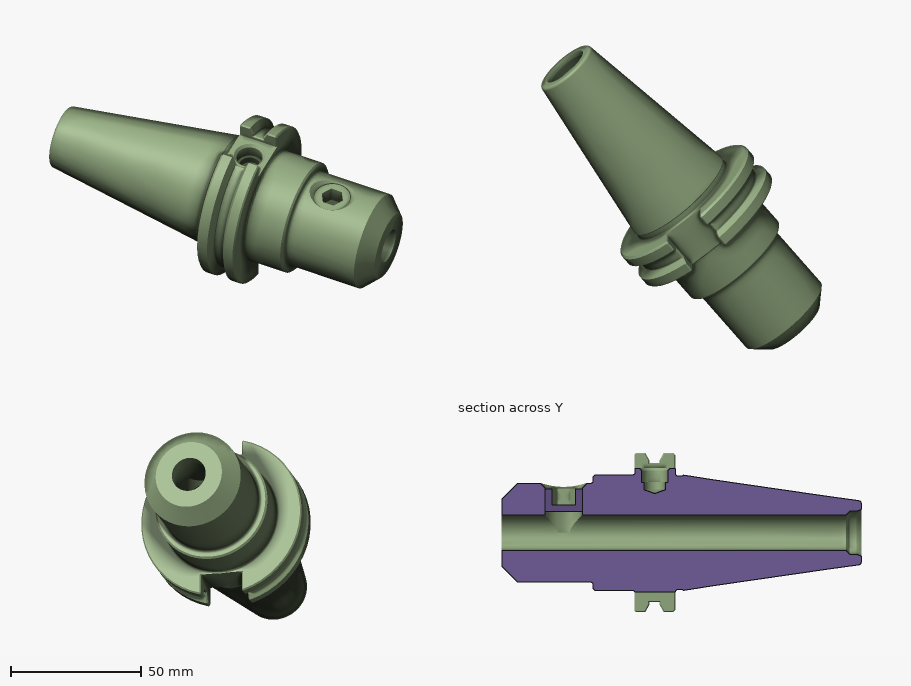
import cadquery as cq
import math

total_length = 138.1

gauge_diameter = 44.5
gauge_x = 68.4
taper_ratio = 7 / 24
small_end_fillet = 1.2

relief_diameter = 43.9
relief_step = 0.4
relief_fillet = 0.7

flange_diameter = 63.5
flange_x = 71.4
flange_width = 15.7
flange_front_chamfer = 0.8
flange_back_chamfer = 0.5
groove_center_x = 79.4
groove_bottom_width = 3.9
groove_mouth_width = 7.0
groove_depth = 3.7
groove_flank_angle = 60.0

collar_diameter = 44.5
collar_end_x = 103.2
collar_flange_fillet = 0.7
collar_chamfer = 0.7
nose_diameter = 38.1
nose_fillet = 1.0
nose_chamfer = 6.0

bore_diameter = 13.4
thread_bore_diameter = 16.5
thread_bore_length = 2.8
bore_mouth_diameter = 18.0
bore_mouth_depth = 1.8
bore_step_length = 1.4

slot_width = 16.2
top_slot_floor = 24.9
bottom_slot_floor = 22.8
slot_floor_fillet = 0.4
slot_edge_chamfer = 0.5

chip_hole_diameter = 10.1
chip_hole_depth = 5.5
chip_hole_mouth_diameter = 12.0
chip_hole_tip_diameter = 8.0
chip_hole_tip_length = 2.8
drill_point_angle = 140.0

screw_x = 114.3
screw_diameter = 14.2
screw_top_z = 17.0
screw_bottom_z = 8.0
screw_edge_chamfer = 0.3
screw_mouth_diameter = 18.0
hex_width = 7.7
hex_depth = 6.2

tiny = 0.01


def make_outer_body():
    """Revolve the outline of the taper, flange, collar and nose about X."""
    gauge_r = gauge_diameter / 2
    relief_r = relief_diameter / 2
    flange_r = flange_diameter / 2
    collar_r = collar_diameter / 2
    nose_r = nose_diameter / 2
    flange_end_x = flange_x + flange_width
    half_angle = math.atan(taper_ratio / 2)
    small_end_r = gauge_r - gauge_x * taper_ratio / 2

    fillet_reach = small_end_fillet * math.tan((math.pi / 2 - half_angle) / 2)
    fillet_end_x = fillet_reach * math.cos(half_angle)
    fillet_end_r = small_end_r + fillet_reach * math.sin(half_angle)

    flank_width = (groove_mouth_width - groove_bottom_width) / 2
    flank_end_r = flange_r - flank_width * math.tan(math.radians(groove_flank_angle))
    groove_r = flange_r - groove_depth
    mouth_half = groove_mouth_width / 2
    bottom_half = groove_bottom_width / 2

    return (
        cq.Workplane("XY")
        .moveTo(0, 0)
        .lineTo(0, small_end_r - fillet_reach)
        .radiusArc((fillet_end_x, fillet_end_r), small_end_fillet)
        .lineTo(gauge_x, gauge_r)
        .lineTo(gauge_x + relief_step, relief_r)
        .lineTo(flange_x - relief_fillet, relief_r)
        .radiusArc((flange_x, relief_r + relief_fillet), -relief_fillet)
        .lineTo(flange_x, flange_r - flange_front_chamfer)
        .lineTo(flange_x + flange_front_chamfer, flange_r)
        .lineTo(groove_center_x - mouth_half, flange_r)
        .lineTo(groove_center_x - bottom_half, flank_end_r)
        .lineTo(groove_center_x - bottom_half, groove_r)
        .lineTo(groove_center_x + bottom_half, groove_r)
        .lineTo(groove_center_x + bottom_half, flank_end_r)
        .lineTo(groove_center_x + mouth_half, flange_r)
        .lineTo(flange_end_x - flange_back_chamfer, flange_r)
        .lineTo(flange_end_x, flange_r - flange_back_chamfer)
        .lineTo(flange_end_x, collar_r + collar_flange_fillet)
        .radiusArc((flange_end_x + collar_flange_fillet, collar_r), -collar_flange_fillet)
        .lineTo(collar_end_x - collar_chamfer, collar_r)
        .lineTo(collar_end_x, collar_r - collar_chamfer)
        .lineTo(collar_end_x, nose_r + nose_fillet)
        .radiusArc((collar_end_x + nose_fillet, nose_r), -nose_fillet)
        .lineTo(total_length - nose_chamfer, nose_r)
        .lineTo(total_length, nose_r - nose_chamfer)
        .lineTo(total_length, 0)
        .close()
        .revolve(360, (0, 0, 0), (1, 0, 0))
    )


def make_bore():
    """Through bore that widens in steps towards the taper's small end."""
    bore_r = bore_diameter / 2
    thread_r = thread_bore_diameter / 2
    return (
        cq.Workplane("XY")
        .moveTo(0, 0)
        .lineTo(0, bore_mouth_diameter / 2)
        .lineTo(bore_mouth_depth, thread_r)
        .lineTo(bore_mouth_depth + thread_bore_length, thread_r)
        .lineTo(bore_mouth_depth + thread_bore_length + bore_step_length, bore_r)
        .lineTo(total_length, bore_r)
        .lineTo(total_length, 0)
        .close()
        .revolve(360, (0, 0, 0), (1, 0, 0))
    )


def make_drive_slot(floor_height):
    """Slot through the flange on the +Z side."""
    height = flange_diameter / 2 - floor_height + 1.4
    return (
        cq.Workplane("XY", origin=(flange_x + flange_width / 2, 0, floor_height))
        .box(flange_width, slot_width, height, centered=(True, True, False))
    )


def make_chip_hole():
    """Countersunk blind stepped hole with a drill point, down from the top slot's floor."""
    hole_r = chip_hole_diameter / 2
    mouth_r = chip_hole_mouth_diameter / 2
    tip_r = chip_hole_tip_diameter / 2
    step_z = top_slot_floor - chip_hole_depth
    tip_z = step_z - chip_hole_tip_length
    point_depth = tip_r / math.tan(math.radians(drill_point_angle / 2))
    return (
        cq.Workplane("XZ")
        .moveTo(0, top_slot_floor)
        .lineTo(mouth_r, top_slot_floor)
        .lineTo(hole_r, top_slot_floor - (mouth_r - hole_r))
        .lineTo(hole_r, step_z)
        .lineTo(tip_r, step_z)
        .lineTo(tip_r, tip_z)
        .lineTo(0, tip_z - point_depth)
        .close()
        .revolve(360, (0, 0, 0), (0, 1, 0))
        .translate((groove_center_x, 0, 0))
    )


def make_screw_hole():
    """Hole for the clamping screw, from the bore out through a 45 degree mouth in the nose."""
    hole_r = screw_diameter / 2
    mouth_r = screw_mouth_diameter / 2
    mouth_z = nose_diameter / 2
    return (
        cq.Workplane("XZ")
        .lineTo(hole_r, 0)
        .lineTo(hole_r, mouth_z - (mouth_r - hole_r))
        .lineTo(mouth_r, mouth_z)
        .lineTo(0, mouth_z)
        .close()
        .revolve(360, (0, 0, 0), (0, 1, 0))
        .translate((screw_x, 0, 0))
    )


def finish_drive_slots(body):
    """Chamfer the outer edges of the drive slots' side walls, then round their floor corners."""
    for direction in (-1, 1):
        walls = cq.selectors.BoxSelector(
            (flange_x - 1.4, -slot_width / 2 - tiny, 0),
            (flange_x + flange_width + 1.4, slot_width / 2 + tiny, direction * flange_diameter / 2),
            boundingbox=True,
        )
        floor_edges = "<Z" if direction > 0 else ">Z"
        for side in ("<Y", ">Y"):
            wall = body.faces(walls).faces("|Y").faces(side)
            floor_edge = wall.edges("|X").edges(floor_edges).val()
            rim = [edge for edge in wall.edges().vals() if not edge.isSame(floor_edge)]
            body = body.newObject(rim).chamfer(slot_edge_chamfer)
    floor_corners = []
    for floor_z in (top_slot_floor, -bottom_slot_floor):
        for corner_y in (-slot_width / 2, slot_width / 2):
            near_corner = cq.selectors.BoxSelector(
                (flange_x - 1.4, corner_y - tiny, floor_z - tiny),
                (flange_x + flange_width + 1.4, corner_y + tiny, floor_z + tiny),
            )
            floor_corners += body.edges("|X").edges(near_corner).vals()
    return body.newObject(floor_corners).fillet(slot_floor_fillet)


def make_holder():
    body = make_outer_body()
    body = body.cut(make_drive_slot(top_slot_floor))
    body = body.cut(make_drive_slot(bottom_slot_floor).rotate((0, 0, 0), (1, 0, 0), 180))
    body = finish_drive_slots(body)
    body = body.cut(make_bore())
    body = body.cut(make_chip_hole())
    return body.cut(make_screw_hole())


def make_clamping_screw():
    """Headless screw with a hexagon socket, standing in the nose above the bore."""
    return (
        cq.Workplane("XY", origin=(screw_x, 0, screw_bottom_z))
        .circle(screw_diameter / 2)
        .extrude(screw_top_z - screw_bottom_z)
        .faces(">Z")
        .chamfer(screw_edge_chamfer)
        .faces(">Z")
        .workplane()
        .polygon(6, hex_width / math.cos(math.pi / 6))
        .cutBlind(-hex_depth)
    )


holder = make_holder()
clamping_screw = make_clamping_screw()

result = cq.Compound.makeCompound([holder.val(), clamping_screw.val()])